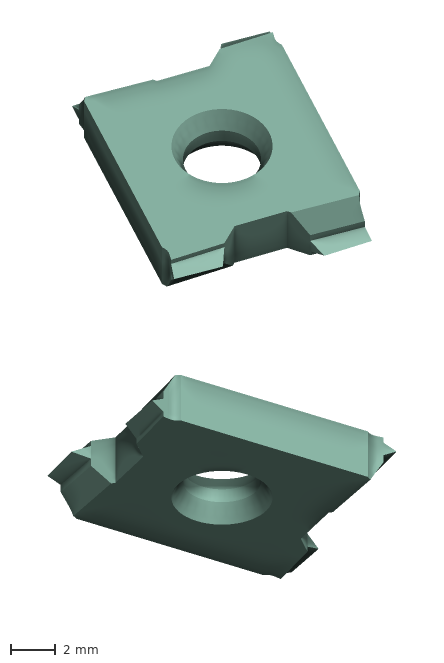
import cadquery as cq
import math

length = 12.72
width = 9.5
thickness = 2.4

waist_half_length = 4.77
waist_half_width = 1.26
tooth_root_x = 5.57
tooth_root_y = waist_half_width + tooth_root_x - waist_half_length
tooth_inner_y = 2.44
tooth_tip_angle = 1.9
root_edge_angle = 2.0
end_relief_angle = 9.0
relief_end_x = 5.33
relief_arc_x = 4.81

tooth_center_z = 0.6
tooth_base_height = 0.67
bevel_top_z = -0.11
bevel_depth = 0.64

hole_diameter = 3.5
flare_diameter = 4.53
flare_depth = 0.86

half_length = length / 2
half_width = width / 2
half_thickness = thickness / 2


root_slope = math.tan(math.radians(root_edge_angle))
relief_slope = math.tan(math.radians(end_relief_angle))
tip_outer_x = half_length - (half_width - tooth_inner_y) * math.tan(math.radians(tooth_tip_angle))

root_outer_y = (
    half_width - relief_slope * (tip_outer_x - tooth_root_x + tooth_root_y * root_slope)
) / (1 - root_slope * relief_slope)
root_outer_x = tooth_root_x + (root_outer_y - tooth_root_y) * root_slope


def quarter_plate():
    """One full-height quarter of the plate, on the -X +Y side, without its tooth."""
    relief_end_y = half_width - (tip_outer_x - relief_end_x) * relief_slope
    return (
        cq.Workplane("XY", origin=(0, 0, -half_thickness))
        .lineTo(-waist_half_length, 0)
        .lineTo(-waist_half_length, waist_half_width)
        .lineTo(-tooth_root_x, tooth_root_y)
        .lineTo(-root_outer_x, root_outer_y)
        .lineTo(-relief_end_x, relief_end_y)
        .tangentArcPoint((-relief_arc_x, half_width), relative=False)
        .lineTo(0, half_width)
        .close()
        .extrude(thickness)
    )


def bevel():
    """Wedge removed beneath the tooth, running along the tilted root edge."""
    tilt = math.radians(root_edge_angle)
    edge_plane = cq.Plane(
        origin=(-tooth_root_x, tooth_root_y, 0),
        xDir=(math.cos(tilt), math.sin(tilt), 0),
        normal=(math.sin(tilt), -math.cos(tilt), 0),
    )
    return (
        cq.Workplane(edge_plane)
        .moveTo(0, bevel_top_z)
        .lineTo(bevel_depth, -half_thickness)
        .lineTo(0, -half_thickness)
        .close()
        .extrude(width, both=True)
    )


def tooth():
    """Triangular tooth ruled between its two slanted end faces."""
    top_z = tooth_center_z + tooth_base_height / 2
    bottom_z = tooth_center_z - tooth_base_height / 2

    def end_face(root_x, root_y, tip_x, tip_y):
        corners = [
            cq.Vector(-root_x, root_y, top_z),
            cq.Vector(-tip_x, tip_y, tooth_center_z),
            cq.Vector(-root_x, root_y, bottom_z),
        ]
        return cq.Wire.makePolygon(corners, close=True)

    inner_end = end_face(tooth_root_x, tooth_root_y, half_length, tooth_inner_y)
    outer_end = end_face(root_outer_x, root_outer_y, tip_outer_x, half_width)
    return cq.Workplane(cq.Solid.makeLoft([inner_end, outer_end], True))


def flared_hole():
    """Straight bore with a conical flare at each face, as a solid of revolution."""
    bore_radius = hole_diameter / 2
    flare_radius = flare_diameter / 2
    bore_half_height = half_thickness - flare_depth
    return (
        cq.Workplane("XZ")
        .moveTo(0, -half_thickness)
        .lineTo(flare_radius, -half_thickness)
        .lineTo(bore_radius, -bore_half_height)
        .lineTo(bore_radius, bore_half_height)
        .lineTo(flare_radius, half_thickness)
        .lineTo(0, half_thickness)
        .close()
        .revolve(360, (0, 0, 0), (0, 1, 0))
    )


corner = quarter_plate().cut(bevel()).union(tooth())
plate = corner
for axis in [(1, 0, 0), (0, 1, 0), (0, 0, 1)]:
    plate = plate.union(corner.rotate((0, 0, 0), axis, 180))

result = plate.clean().cut(flared_hole())